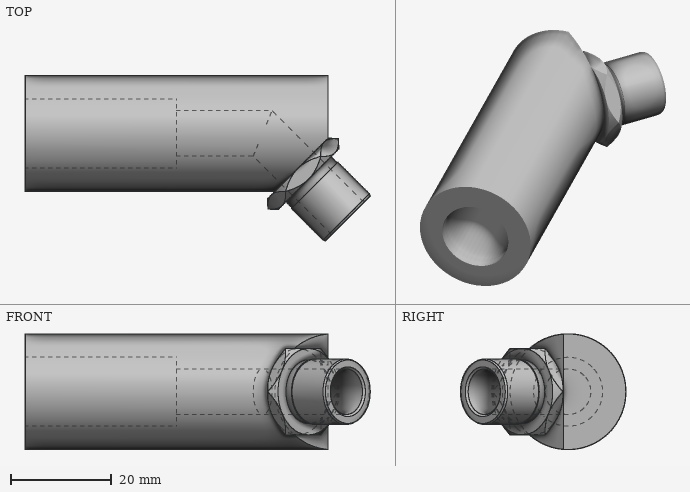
import cadquery as cq
import math

body_diameter = 23.0
body_length = 60.0
socket_diameter = 13.7
socket_depth = body_length / 2
bore_diameter = 9.0

overall_length = 68.35
elbow_x = 47.0
outlet_angle = 45.0
nut_seat = 9.85

nut_thickness = 3.0
nut_across_flats = 17.1

neck_length = 1.7
neck_diameter = 12.65
spigot_diameter = 13.0
rim_chamfer_length = 0.5
rim_chamfer_depth = 0.2
mouth_chamfer = 0.4

spigot_radius = spigot_diameter / 2
rim_radius = spigot_radius - rim_chamfer_depth
bore_radius = bore_diameter / 2
direction_x = math.cos(math.radians(outlet_angle))
direction_y = -math.sin(math.radians(outlet_angle))

nut_end = nut_seat + nut_thickness
neck_end = nut_end + neck_length
spigot_end = (overall_length - elbow_x + rim_radius * direction_y) / direction_x


def outlet_plane(distance):
    """Plane square to the outlet axis, with its local Y along world Z."""
    return cq.Plane(
        origin=(elbow_x + distance * direction_x, distance * direction_y, 0),
        xDir=(-direction_y, direction_x, 0),
        normal=(direction_x, direction_y, 0),
    )


def turned_on_outlet(profile):
    """Solid of revolution about the outlet axis from (radius, distance) points."""
    plane = cq.Plane(
        origin=(elbow_x, 0, 0),
        xDir=(-direction_y, direction_x, 0),
        normal=(0, 0, -1),
    )
    return cq.Workplane(plane).polyline(profile).close().revolve(360, (0, 0, 0), (0, 1, 0))


def make_body():
    """Cylinder whose free end is bevelled flat where the nut sits."""
    body = cq.Workplane("YZ").circle(body_diameter / 2).extrude(body_length)
    beyond_seat = (
        cq.Workplane(outlet_plane(nut_seat))
        .rect(2 * overall_length, 2 * overall_length)
        .extrude(overall_length)
    )
    return body.cut(beyond_seat)


def make_nut():
    """Hexagon with two flats square to Z, trimmed by cones meeting at mid thickness."""
    corner_diameter = nut_across_flats / math.cos(math.pi / 6)
    hexagon = cq.Workplane(outlet_plane(nut_seat)).polygon(6, corner_diameter).extrude(nut_thickness)
    double_cone = turned_on_outlet([
        (0, nut_seat),
        (nut_across_flats / 2, nut_seat),
        (corner_diameter / 2, nut_seat + nut_thickness / 2),
        (nut_across_flats / 2, nut_end),
        (0, nut_end),
    ])
    return hexagon.intersect(double_cone)


def make_spigot():
    """Round spigot with a slightly narrower neck and a chamfered rim."""
    return turned_on_outlet([
        (0, nut_seat),
        (neck_diameter / 2, nut_seat),
        (neck_diameter / 2, neck_end),
        (spigot_radius, neck_end),
        (spigot_radius, spigot_end - rim_chamfer_length),
        (rim_radius, spigot_end),
        (0, spigot_end),
    ])


def make_passage():
    """Tail socket, mitred bore running through the elbow, and chamfered mouth."""
    socket = cq.Workplane("YZ").circle(socket_diameter / 2).extrude(socket_depth)
    path = (
        cq.Workplane("XY")
        .moveTo(0, 0)
        .lineTo(elbow_x, 0)
        .lineTo(elbow_x + spigot_end * direction_x, spigot_end * direction_y)
    )
    bore = cq.Workplane("YZ").circle(bore_radius).sweep(path, transition="right")
    mouth = turned_on_outlet([
        (0, spigot_end - mouth_chamfer),
        (bore_radius, spigot_end - mouth_chamfer),
        (bore_radius + mouth_chamfer, spigot_end),
        (0, spigot_end),
    ])
    return socket.union(bore).union(mouth)


result = make_body().union(make_nut()).union(make_spigot()).cut(make_passage())